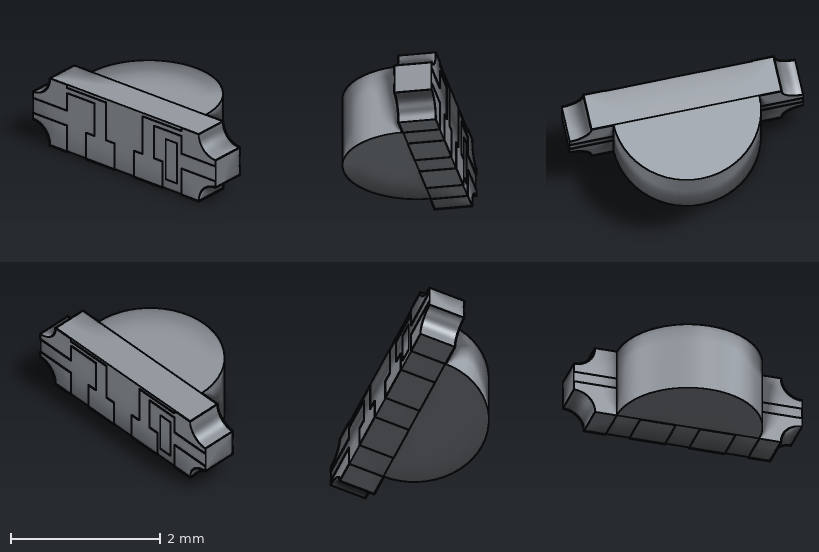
import cadquery as cq
import math


board_length = 3.2
board_depth = 0.5
lens_diameter = 2.0
lens_radius = lens_diameter / 2
board_height = lens_radius
half_length = board_length / 2
half_height = board_height / 2

plating = 0.01
notch_radius = 0.3
bore_radius = notch_radius - plating

pad_inner_x = lens_radius
front_gap = 0.225
back_gap = 0.15

trace_top_z = half_height - 0.048
trace_width = 0.2
run_height = 0.077
trace_inner_x = 0.32
trace_outer_x = trace_inner_x + trace_width
solder_inner_x = 0.17
solder_width = 0.5
solder_outer_x = solder_inner_x + solder_width
solder_top_z = -front_gap / 2

mark_width = 0.2
mark_height = 0.6
mark_thickness = 0.005
mark_x = 0.822
mark_z = -0.06


def sheet_plane(back_y):
    """XZ sketch plane whose extrusions run from back_y toward the front."""
    return cq.Workplane("XZ", origin=(0, back_y, 0))


def add_notch_arc(sketch, side, level, radius, end_x, end_z):
    """Arc of a corner notch, centred on the board corner, to the given end point."""
    reach = radius * math.cos(math.pi / 4)
    middle = (side * (half_length - reach), level * (half_height - reach))
    return sketch.threePointArc(middle, (end_x, end_z))


def make_board():
    board = sheet_plane(board_depth).rect(board_length, board_height).extrude(board_depth)
    corners = sheet_plane(board_depth).rect(board_length, board_height, forConstruction=True).vertices()
    board = board.cut(corners.circle(notch_radius).extrude(board_depth))
    mark = sheet_plane(0).center(mark_x, mark_z).rect(mark_width, mark_height).extrude(mark_thickness)
    return board.union(mark)


def make_lens():
    return (
        cq.Workplane("XY", origin=(0, board_depth, -half_height))
        .moveTo(lens_radius, 0)
        .threePointArc((0, lens_radius), (-lens_radius, 0))
        .close()
        .extrude(board_height)
    )


def corner_pad(side, level, gap, back_y):
    """Flat pad around one corner notch, from the bare strip to the board's top or bottom edge."""
    end_x = side * half_length
    notch_x = side * (half_length - bore_radius)
    edge_z = level * half_height
    outline = sheet_plane(back_y).moveTo(end_x, level * (half_height - bore_radius))
    outline = add_notch_arc(outline, side, level, bore_radius, notch_x, edge_z)
    return (
        outline.lineTo(side * pad_inner_x, edge_z)
        .lineTo(side * pad_inner_x, level * gap / 2)
        .lineTo(end_x, level * gap / 2)
        .close()
        .extrude(plating)
    )


def notch_lining(side, level):
    """Curved plating on the wall of one corner notch."""
    end_x = side * half_length
    edge_z = level * half_height
    outline = sheet_plane(board_depth).moveTo(end_x, level * (half_height - bore_radius))
    outline = add_notch_arc(outline, side, level, bore_radius, side * (half_length - bore_radius), edge_z)
    outline = outline.lineTo(side * (half_length - notch_radius), edge_z)
    outline = add_notch_arc(outline, side, level, notch_radius, end_x, level * (half_height - notch_radius))
    return outline.close().extrude(board_depth)


def corner_terminal(side, level):
    """Front and back corner pads joined by the lining of their notch."""
    front_pad = corner_pad(side, level, front_gap, 0)
    back_pad = corner_pad(side, level, back_gap, board_depth + plating)
    return front_pad.union(notch_lining(side, level)).union(back_pad)


def bottom_plate(side, inner_x, outer_x, back_y):
    """Plating under the board between two X distances, reaching the front of the pads."""
    return (
        sheet_plane(back_y)
        .center(side * (inner_x + outer_x) / 2, -half_height - plating / 2)
        .rect(outer_x - inner_x, plating)
        .extrude(back_y + plating)
    )


def make_upper_terminal(side):
    """Upper corner terminal with its trace and the solder pad at the trace's end."""
    run_bottom_z = trace_top_z - run_height
    points = [
        (pad_inner_x, trace_top_z),
        (trace_inner_x, trace_top_z),
        (trace_inner_x, solder_top_z),
        (solder_inner_x, solder_top_z),
        (solder_inner_x, -half_height),
        (solder_outer_x, -half_height),
        (solder_outer_x, solder_top_z),
        (trace_outer_x, solder_top_z),
        (trace_outer_x, run_bottom_z),
        (pad_inner_x, run_bottom_z),
    ]
    trace = sheet_plane(0).polyline([(side * x, z) for x, z in points]).close().extrude(plating)
    solder_plate = bottom_plate(side, solder_inner_x, solder_outer_x, board_depth)
    return corner_terminal(side, 1).union(trace).union(solder_plate)


def make_lower_terminal(side):
    """Lower corner terminal with the plating that joins its pads under the board."""
    plate = bottom_plate(side, pad_inner_x, half_length - bore_radius, board_depth + plating)
    return corner_terminal(side, -1).union(plate)


board = make_board()
lens = make_lens()
upper_terminals = [make_upper_terminal(side) for side in (-1, 1)]
lower_terminals = [make_lower_terminal(side) for side in (-1, 1)]

bodies = [board, lens, *upper_terminals, *lower_terminals]

result = cq.Compound.makeCompound([body.solids().val() for body in bodies])